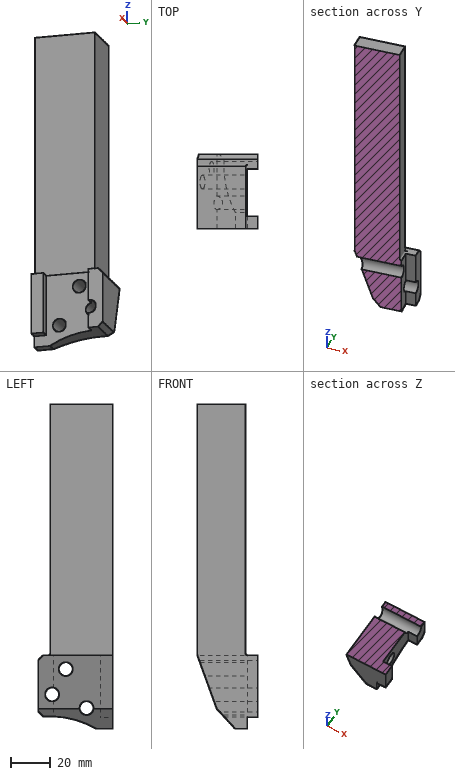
import cadquery as cq
import math

width = 31.0
depth = 38.0
height = 165.5

shank_width = 24.7
shank_depth = 32.0
root_fillet = 1.0

head_height = 37.5
slope_bend_x = 10.0
slope_bend_z = 10.3
tip_x = 19.4
step_x = shank_width + root_fillet
step_height = 5.8

corner_chamfer = 2.5
tip_depth = 8.5
relief_start_y = 32.0
underside_height = 6.3

channel_start_y = 6.5
channel_end_y = 30.5

hole_diameter = 7.0
hole_centers = [(24.0, 30.5), (31.0, 17.5), (13.4, 10.6)]


def make_head():
    """Wedge-shaped head, trimmed to its side outline with a concave underside."""
    profile = (
        cq.Workplane("XZ")
        .moveTo(0, head_height)
        .lineTo(slope_bend_x, slope_bend_z)
        .lineTo(tip_x, 0)
        .lineTo(step_x, 0)
        .lineTo(step_x, step_height)
        .lineTo(width, step_height)
        .lineTo(width, head_height)
        .close()
        .extrude(-depth)
    )

    run = relief_start_y - tip_depth
    radius = (run**2 + underside_height**2) / (2 * underside_height)
    half_angle = math.asin(run / radius) / 2
    relief_mid_y = relief_start_y - radius * math.sin(half_angle)
    relief_mid_z = underside_height - radius * (1 - math.cos(half_angle))
    side_outline = (
        cq.Workplane("YZ")
        .lineTo(tip_depth, 0)
        .threePointArc((relief_mid_y, relief_mid_z), (relief_start_y, underside_height))
        .lineTo(depth - corner_chamfer, underside_height)
        .lineTo(depth, underside_height + corner_chamfer)
        .lineTo(depth, head_height - corner_chamfer)
        .lineTo(depth - corner_chamfer, head_height)
        .lineTo(0, head_height)
        .close()
        .extrude(width)
    )
    return profile.intersect(side_outline)


def make_shank():
    """Rectangular bar standing on the head."""
    return (
        cq.Workplane("XY", origin=(0, 0, head_height))
        .rect(shank_width, shank_depth)
        .extrude(height - head_height)
        .translate((shank_width / 2, shank_depth / 2, 0))
    )


def make_channel():
    return cq.Workplane("XY").box(
        width - step_x, channel_end_y - channel_start_y, head_height, centered=False
    ).translate((step_x, channel_start_y, 0))


def make_holes():
    return (
        cq.Workplane("YZ")
        .pushPoints(hole_centers)
        .circle(hole_diameter / 2)
        .extrude(width)
    )


def fillet_root(body):
    """Round the inside corners where the +X and +Y shank faces meet the head."""
    middle = (shank_width / 2, shank_depth / 2)
    root_points = [
        (shank_width, middle[1], head_height),
        (middle[0], shank_depth, head_height),
    ]
    edges = cq.Workplane("XY")
    for point in root_points:
        edges = edges.add(body.edges(cq.selectors.NearestToPointSelector(point)))
    return body.newObject(edges.vals()).fillet(root_fillet)


result = fillet_root(make_head().union(make_shank()))
result = result.cut(make_channel()).cut(make_holes())